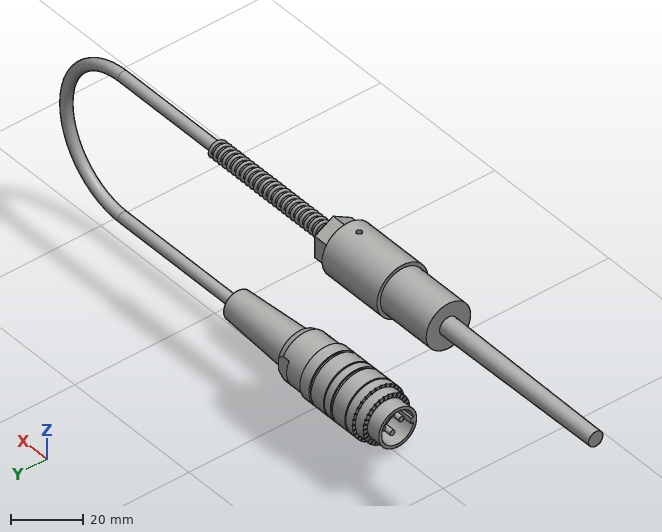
import cadquery as cq
import math


overall_length = 233.8
cable_diameter = 3.7
overall_height = 68.3

probe_length = 64.5
probe_tip_diameter = 5.1
probe_base_diameter = 6.3
probe_insertion = 4.7

housing_front_diameter = 16.0
housing_front_length = 20.0
housing_rear_diameter = 18.2
housing_rear_length = 24.0
vent_diameter = 1.8
vent_depth = 1.5
vent_setback = 5.1

nut_across_corners = 15.2
nut_length = 6.3

spring_outer_diameter = 6.3
spring_length = 52.1
wire_diameter = 1.0
spring_pitch = 1.99

plug_start = 86.8
nose_diameter = 13.5
nose_length = 5.0
shoulder_diameter = 16.5
shoulder_length = 3.5
socket_diameter = 11.5
socket_depth = 8.2
collar_diameter = 18.5
collar_length = 23.1
collar_core_diameter = 16.0
shell_diameter = 17.3
shell_length = 11.2
shell_chamfer_length = 2.0
shell_chamfer_height = 0.7
flat_length = 4.7
flat_distance = 7.7

wide_groove_width = 1.0
wide_groove_depth = 0.5
wide_groove_offsets = (9.0, 18.2)
fine_groove_width = 0.2
fine_groove_depth = 0.2
fine_groove_offsets = (3.3, 12.6)

serration_count = 30
serration_width = 0.2
serration_depth = 0.2

pin_count = 4
pin_diameter = 1.8
pin_circle_radius = 3.3
pin_length = 5.8
key_width = 1.9
key_height = 1.0

boot_front_diameter = 13.0
boot_rear_diameter = 10.0
boot_length = 27.4

housing_start = probe_length
housing_step = housing_start + housing_front_length
housing_end = housing_step + housing_rear_length
nut_end = housing_end + nut_length
shoulder_start = plug_start + nose_length
collar_start = shoulder_start + shoulder_length
collar_end = collar_start + collar_length
shell_end = collar_end + shell_length
boot_end = shell_end + boot_length
plug_axis_drop = overall_height - housing_rear_diameter / 2 - collar_diameter / 2
bend_radius = plug_axis_drop / 2
bend_start = overall_length - cable_diameter / 2 - bend_radius


def cylinder(start, end, diameter, axis_z=0.0):
    """Round bar along X."""
    return cq.Workplane("YZ", origin=(start, 0, axis_z)).circle(diameter / 2).extrude(end - start)


def cone(start, end, start_diameter, end_diameter, axis_z=0.0):
    """Tapered round bar along X."""
    return (
        cq.Workplane("YZ", origin=(start, 0, axis_z))
        .circle(start_diameter / 2)
        .workplane(offset=end - start)
        .circle(end_diameter / 2)
        .loft()
    )


def ring(start, end, outer_diameter, inner_diameter, axis_z=0.0):
    """Round tube along X."""
    return cylinder(start, end, outer_diameter, axis_z).cut(cylinder(start, end, inner_diameter, axis_z))


def make_probe():
    taper = cone(0, probe_length, probe_tip_diameter, probe_base_diameter)
    shank = cylinder(probe_length, probe_length + probe_insertion, probe_base_diameter)
    return taper.union(shank)


def make_housing():
    front = cylinder(housing_start, housing_step, housing_front_diameter)
    rear = cylinder(housing_step, housing_end, housing_rear_diameter)
    probe_bore = cylinder(housing_start, housing_start + probe_insertion, probe_base_diameter)
    vent_floor = housing_rear_diameter / 2 - vent_depth
    vent = (
        cq.Workplane("XY", origin=(housing_end - vent_setback, 0, vent_floor))
        .circle(vent_diameter / 2)
        .extrude(housing_rear_diameter)
    )
    return front.union(rear).cut(probe_bore).cut(vent)


def make_nut():
    hexagon = (
        cq.Workplane("YZ", origin=(housing_end, 0, 0))
        .transformed(rotate=(0, 0, 90))
        .polygon(6, nut_across_corners)
        .extrude(nut_length)
    )
    return hexagon.cut(cylinder(housing_end, nut_end, cable_diameter))


def make_spring():
    coil_radius = (spring_outer_diameter - wire_diameter) / 2
    coil_start = nut_end + wire_diameter / 2
    coil_length = spring_length - wire_diameter
    path = cq.Wire.makeHelix(
        spring_pitch,
        coil_length,
        coil_radius,
        center=cq.Vector(coil_start, 0, 0),
        dir=cq.Vector(1, 0, 0),
        lefthand=True,
    )
    section_plane = cq.Plane(origin=path.startPoint(), xDir=(1, 0, 0), normal=path.tangentAt(0))
    section = cq.Workplane(section_plane).circle(wire_diameter / 2)
    return section.sweep(cq.Workplane(path), isFrenet=True)


def make_cable():
    path = (
        cq.Workplane("XZ", origin=(0, 0, 0))
        .moveTo(housing_end, 0)
        .lineTo(bend_start, 0)
        .threePointArc((bend_start + bend_radius, -bend_radius), (bend_start, -plug_axis_drop))
        .lineTo(shell_end, -plug_axis_drop)
    )
    return cq.Workplane("YZ", origin=(housing_end, 0, 0)).circle(cable_diameter / 2).sweep(path)


def serrate(body, face_x, inner_diameter, outer_diameter):
    """Cut radial serrations into a ring-shaped face that looks toward -X."""
    length = (outer_diameter - inner_diameter) / 2
    middle_radius = (outer_diameter + inner_diameter) / 4
    slot = (
        cq.Workplane("XY")
        .box(serration_depth, length, serration_width)
        .translate((face_x + serration_depth / 2, middle_radius, 0))
    )
    for index in range(serration_count):
        turned_slot = slot.rotate((0, 0, 0), (1, 0, 0), 360 * index / serration_count)
        body = body.cut(turned_slot.translate((0, 0, -plug_axis_drop)))
    return body


def make_plug_shell():
    """Rear part of the plug, with a chamfered end and two wrench flats."""
    chamfer_start = shell_end - shell_chamfer_length
    end_diameter = shell_diameter - 2 * shell_chamfer_height
    shell = cylinder(collar_end, chamfer_start, shell_diameter, -plug_axis_drop)
    shell = shell.union(cone(chamfer_start, shell_end, shell_diameter, end_diameter, -plug_axis_drop))
    flat_center_x = shell_end - flat_length / 2
    flat_center_y = flat_distance + shell_diameter / 2
    for side in (-1, 1):
        flat = cq.Workplane("XY").box(flat_length, shell_diameter, shell_diameter)
        shell = shell.cut(flat.translate((flat_center_x, side * flat_center_y, -plug_axis_drop)))
    return shell


def make_contacts(socket_floor):
    """Contact pins that stand on the socket floor."""
    pin = cylinder(socket_floor - pin_length, socket_floor, pin_diameter, -plug_axis_drop)
    contacts = cq.Workplane("YZ")
    for index in range(pin_count):
        angle = 2 * math.pi * index / pin_count
        offset = (0, pin_circle_radius * math.cos(angle), pin_circle_radius * math.sin(angle))
        contacts = contacts.union(pin.translate(offset))
    return contacts


def make_key():
    """Polarizing key on the -Y wall of the socket, sunk into the wall so that it joins the nose."""
    wall_thickness = (nose_diameter - socket_diameter) / 2
    height = key_height + wall_thickness / 2
    center_y = -socket_diameter / 2 + key_height - height / 2
    key = cq.Workplane("XY").box(socket_depth, height, key_width)
    return key.translate((plug_start + socket_depth / 2, center_y, -plug_axis_drop))


def make_plug():
    socket_floor = plug_start + socket_depth
    nose = cylinder(plug_start, shoulder_start, nose_diameter, -plug_axis_drop)
    shoulder = cylinder(shoulder_start, collar_start, shoulder_diameter, -plug_axis_drop)
    shoulder = serrate(shoulder, shoulder_start, nose_diameter, shoulder_diameter)
    core = cylinder(collar_start, collar_end, collar_core_diameter, -plug_axis_drop)
    socket = cylinder(plug_start, socket_floor, socket_diameter, -plug_axis_drop)
    plug = nose.union(shoulder).union(core).union(make_plug_shell()).cut(socket)
    return plug.union(make_contacts(socket_floor)).union(make_key())


def cut_grooves(collar, offsets, width, depth):
    """Cut grooves around the collar at the given distances from its front face."""
    floor_diameter = collar_diameter - 2 * depth
    for offset in offsets:
        start = collar_start + offset
        collar = collar.cut(ring(start, start + width, collar_diameter, floor_diameter, -plug_axis_drop))
    return collar


def make_collar():
    """Locking collar around the plug core."""
    collar = ring(collar_start, collar_end, collar_diameter, collar_core_diameter, -plug_axis_drop)
    collar = cut_grooves(collar, wide_groove_offsets, wide_groove_width, wide_groove_depth)
    collar = cut_grooves(collar, fine_groove_offsets, fine_groove_width, fine_groove_depth)
    return serrate(collar, collar_start, shoulder_diameter, collar_diameter)


def make_boot():
    boot = cone(shell_end, boot_end, boot_front_diameter, boot_rear_diameter, -plug_axis_drop)
    return boot.cut(cylinder(shell_end, boot_end, cable_diameter, -plug_axis_drop))


probe = make_probe()
housing = make_housing()
nut = make_nut()
spring = make_spring()
cable = make_cable()
plug = make_plug()
collar = make_collar()
boot = make_boot()

result = cq.Compound.makeCompound(
    [
        probe.val(),
        housing.val(),
        nut.val(),
        spring.val(),
        cable.val(),
        plug.val(),
        collar.val(),
        boot.val(),
    ]
)